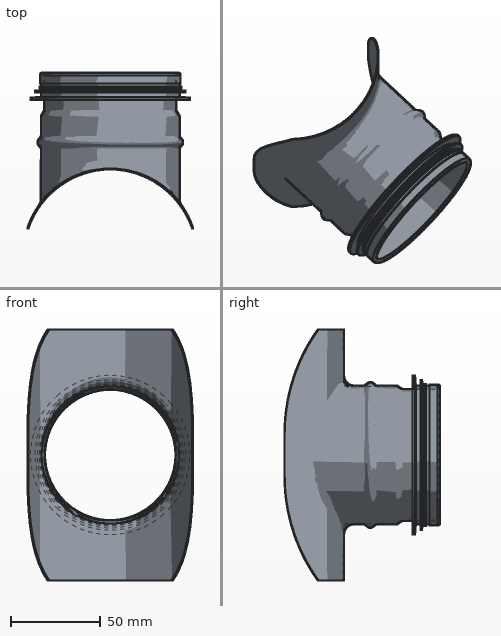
import cadquery as cq
import math


sheet = 0.5
saddle_radius = 49.0
saddle_length = 141.0
saddle_width = 93.0
overall_depth = 87.33

collar_radius = 78.05 / 2
neck_radius = 74.25 / 2
hem_radius = 79.05 / 2
tight_bend = 1.0
wide_bend = tight_bend + sheet
root_fillet = 5.0

saddle_tip_y = math.sqrt(saddle_radius**2 - (saddle_width / 2) ** 2)
mouth_y = saddle_tip_y + overall_depth
hem_fold_radius = (hem_radius - (neck_radius - sheet)) / 2
hem_fold_y = mouth_y - hem_fold_radius
hem_end_y = mouth_y - 5.95
neck_end_y = mouth_y - 21.25
collar_start_y = mouth_y - 24.45
bead_y = mouth_y - 39.1

edge_straight_half = 12.0
edge_arc_radius = 100.0

bead_half_width = 3.1
bead_flank_angle = 40.0
bead_crown_fillet = 2.2
bead_foot_fillet = 1.0

seal_depth = 15.4
seal_end_y = mouth_y - seal_depth
seal_lips = [
    (79.8, 7.9, 7.9, 8.7),
    (84.45, 9.8, 10.1, 11.1),
    (89.45, 13.6, 14.0, seal_depth),
]


def revolve_around_collar_axis(profile):
    """Full turn of an XY profile (radius along X) about the Y axis."""
    return profile.revolve(360, (0, 0, 0), (0, 1, 0))


def ring_at(y):
    """Selects the circular edges around the collar axis at one place along Y."""
    reach = hem_radius
    margin = 0.5
    return cq.selectors.BoxSelector((-reach, y - margin, -reach), (reach, y + margin, reach))


def make_envelope(inset):
    """Solid bounded by the sheet's outer face (inset 0) or its inner face (inset = sheet)."""
    collar = collar_radius - inset
    neck = neck_radius - inset
    collar_bend = wide_bend - inset
    neck_bend = tight_bend + inset

    branch = revolve_around_collar_axis(
        cq.Workplane("XY").polyline([
            (0, 0),
            (collar, 0),
            (collar, collar_start_y),
            (neck, neck_end_y),
            (neck, hem_fold_y),
            (0, hem_fold_y),
        ]).close()
    )
    branch = branch.edges(ring_at(collar_start_y)).fillet(collar_bend)
    branch = branch.edges(ring_at(neck_end_y)).fillet(neck_bend)

    radius = saddle_radius - inset
    run = cq.Workplane("XY").circle(radius).extrude(saddle_length / 2, both=True)
    root_edge = cq.selectors.BoxSelector((-radius, saddle_tip_y, -radius), (radius, radius, radius))
    return run.union(branch).edges(root_edge).fillet(root_fillet)


def make_saddle_trim():
    """Block that keeps the sheet on the +Y side of the curved saddle edge."""
    half_length = saddle_length / 2
    arc_rise = half_length - edge_straight_half

    def arc_point(along_z):
        setback = edge_arc_radius - math.sqrt(edge_arc_radius**2 - along_z**2)
        return saddle_tip_y + setback, edge_straight_half + along_z

    mid_y, mid_z = arc_point(arc_rise / 2)
    end_y, end_z = arc_point(arc_rise)
    return (
        cq.Workplane("YZ")
        .moveTo(saddle_tip_y, -edge_straight_half)
        .lineTo(saddle_tip_y, edge_straight_half)
        .threePointArc((mid_y, mid_z), (end_y, end_z))
        .lineTo(mouth_y, end_z)
        .lineTo(mouth_y, -end_z)
        .lineTo(end_y, -end_z)
        .threePointArc((mid_y, -mid_z), (saddle_tip_y, -edge_straight_half))
        .close()
        .extrude(saddle_radius, both=True)
    )


def make_hem():
    """Mouth of the neck, folded outward and back over the seal."""
    fold_center = hem_radius - hem_fold_radius
    return revolve_around_collar_axis(
        cq.Workplane("XY")
        .moveTo(neck_radius - sheet, hem_fold_y)
        .threePointArc((fold_center, mouth_y), (hem_radius, hem_fold_y))
        .lineTo(hem_radius, hem_end_y)
        .lineTo(hem_radius - sheet, hem_end_y)
        .lineTo(hem_radius - sheet, hem_fold_y)
        .threePointArc((fold_center, mouth_y - sheet), (neck_radius, hem_fold_y))
        .close()
    )


def make_bead():
    """Rounded ridge on the outside of the collar; the bore under it stays smooth."""
    ridge_radius = collar_radius + bead_half_width * math.tan(math.radians(bead_flank_angle))
    land = bead_half_width + 2 * bead_foot_fillet
    bore_radius = collar_radius - sheet
    bead = revolve_around_collar_axis(
        cq.Workplane("XY").polyline([
            (bore_radius, bead_y - land),
            (collar_radius, bead_y - land),
            (collar_radius, bead_y - bead_half_width),
            (ridge_radius, bead_y),
            (collar_radius, bead_y + bead_half_width),
            (collar_radius, bead_y + land),
            (bore_radius, bead_y + land),
        ]).close()
    )
    bead = bead.edges(ring_at(bead_y - bead_half_width)).fillet(bead_foot_fillet)
    bead = bead.edges(ring_at(bead_y + bead_half_width)).fillet(bead_foot_fillet)
    return bead.edges(cq.selectors.RadiusNthSelector(-1)).fillet(bead_crown_fillet)


def make_branch():
    shell = make_envelope(0).cut(make_envelope(sheet)).intersect(make_saddle_trim())
    return shell.union(make_hem()).union(make_bead())


def make_seal():
    """Rubber sleeve on the neck, tucked under the hem, with three sealing lips."""
    base_radius = hem_radius - sheet
    profile = cq.Workplane("XY").moveTo(neck_radius, hem_fold_y).lineTo(base_radius, hem_fold_y)
    for tip_diameter, root, tip, far_face in seal_lips:
        profile = (
            profile
            .lineTo(base_radius, mouth_y - root)
            .lineTo(tip_diameter / 2, mouth_y - tip)
            .lineTo(tip_diameter / 2, mouth_y - far_face)
        )
        if mouth_y - far_face > seal_end_y:
            profile = profile.lineTo(base_radius, mouth_y - far_face)
    return revolve_around_collar_axis(profile.lineTo(neck_radius, seal_end_y).close())


branch = make_branch()
seal = make_seal()

result = cq.Compound.makeCompound([branch.solids().val(), seal.val()])